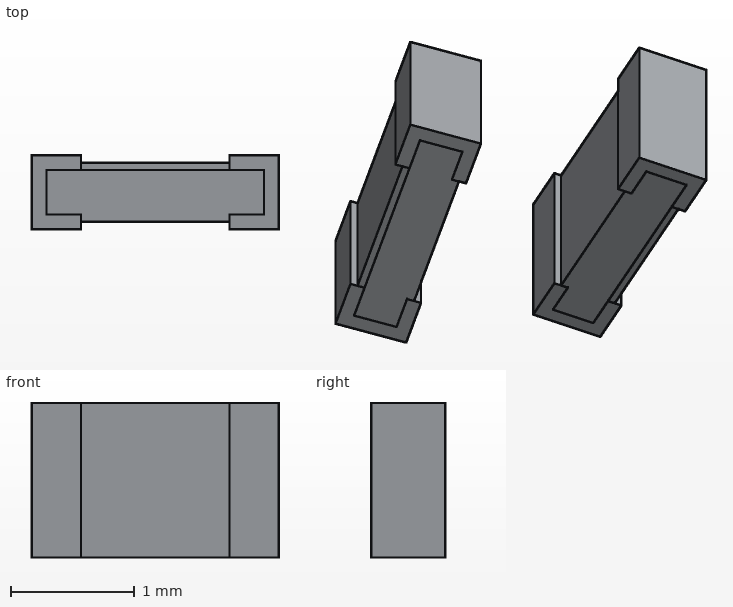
import cadquery as cq

length = 2.0
thickness = 0.6
height = 1.25
terminal_length = 0.4
terminal_wall = 0.12
face_recess = 0.06

gap_length = length - 2 * terminal_length
core_length = length - 2 * terminal_wall
core_thickness = thickness - 2 * terminal_wall
layer_thickness = terminal_wall - face_recess


def block(size_x, size_y, center_x=0.0, center_y=0.0):
    """Full-height block centred on the given point, standing on Z = 0."""
    return (
        cq.Workplane("XY")
        .center(center_x, center_y)
        .rect(size_x, size_y)
        .extrude(height)
    )


def make_substrate():
    """Core held by the terminals, with a raised pad on -Y that fills part of the gap."""
    core = block(core_length, core_thickness)
    pad_y = -(core_thickness + layer_thickness) / 2
    pad = block(gap_length, layer_thickness, center_y=pad_y)
    return core.union(pad)


def make_coating():
    """Thin layer on the +Y face of the core, between the terminals."""
    coating_y = (core_thickness + layer_thickness) / 2
    return block(gap_length, layer_thickness, center_y=coating_y)


def make_terminal(side):
    """C-shaped end cap wrapped around the core; side is -1 for -X and 1 for +X."""
    cap_x = side * (length - terminal_length) / 2
    cap = block(terminal_length, thickness, center_x=cap_x)
    return cap.cut(block(core_length, core_thickness))


substrate = make_substrate()
coating = make_coating()
terminals = [make_terminal(side) for side in (-1, 1)]

result = cq.Compound.makeCompound(
    [substrate.val(), coating.val(), *[terminal.val() for terminal in terminals]]
)